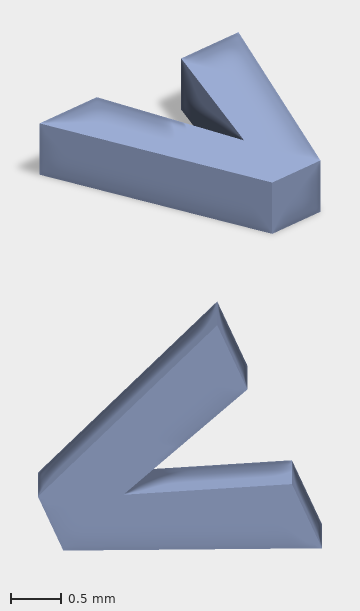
import cadquery as cq

length = 2.38
span = 2.64
thickness = 0.6

apex_width = 0.64
arm_end_width = 0.76
notch_depth = 1.59

open_x = -length / 2
apex_x = length / 2
notch_x = open_x + notch_depth
outer_y = span / 2
inner_y = outer_y - arm_end_width
apex_y = apex_width / 2


def make_v_block():
    """Flat V symmetric about the X axis, opening toward -X."""
    outline = [
        (open_x, outer_y),
        (apex_x, apex_y),
        (apex_x, -apex_y),
        (open_x, -outer_y),
        (open_x, -inner_y),
        (notch_x, 0),
        (open_x, inner_y),
    ]
    return cq.Workplane("XY").polyline(outline).close().extrude(thickness)


result = make_v_block()